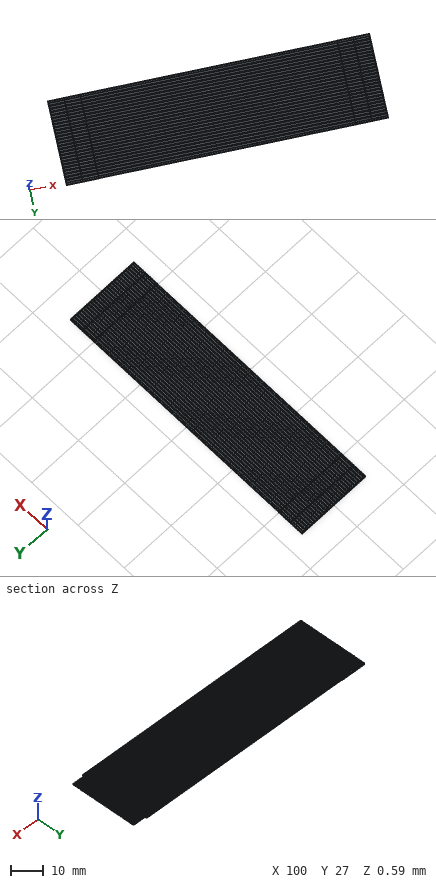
import cadquery as cq


cable_length = 100.0
cable_width = 27.0
total_thickness = 0.59

conductor_count = 26
conductor_pitch = 1.0
conductor_width = 0.7
conductor_thickness = 0.05

film_thickness = 0.045
exposed_length = 5.0
stiffener_length = 10.0
stiffener_thickness = (total_thickness - conductor_thickness) / 2 - film_thickness

end_left = -cable_length / 2
end_right = cable_length / 2

conductor_top = conductor_thickness / 2
film_top = conductor_top + film_thickness
stiffener_top = film_top + stiffener_thickness


def layer(x_start, x_end, z_bottom, z_top, width=cable_width, y_center=0.0):
    """Flat strip between two X positions and two heights."""
    length = x_end - x_start
    strip = cq.Workplane("XY").box(length, width, z_top - z_bottom)
    return strip.translate(((x_start + x_end) / 2, y_center, (z_bottom + z_top) / 2))


def lower_side():
    """Lower film with the stiffener that backs the contacts of the -X end."""
    film = layer(end_left, end_right - exposed_length, -film_top, -conductor_top)
    stiffener = layer(end_left, end_left + stiffener_length, -stiffener_top, -film_top)
    return film.union(stiffener)


def upper_side():
    """Upper film with the stiffener that backs the contacts of the +X end."""
    film = layer(end_left + exposed_length, end_right, conductor_top, film_top)
    stiffener = layer(end_right - stiffener_length, end_right, film_top, stiffener_top)
    return film.union(stiffener)


def conductor(index):
    """One conductor running the whole length of the cable."""
    y_center = (index - (conductor_count - 1) / 2) * conductor_pitch
    return layer(end_left, end_right, -conductor_top, conductor_top, conductor_width, y_center)


cable = lower_side()
for conductor_index in range(conductor_count):
    cable = cable.union(conductor(conductor_index))

result = cable.union(upper_side())